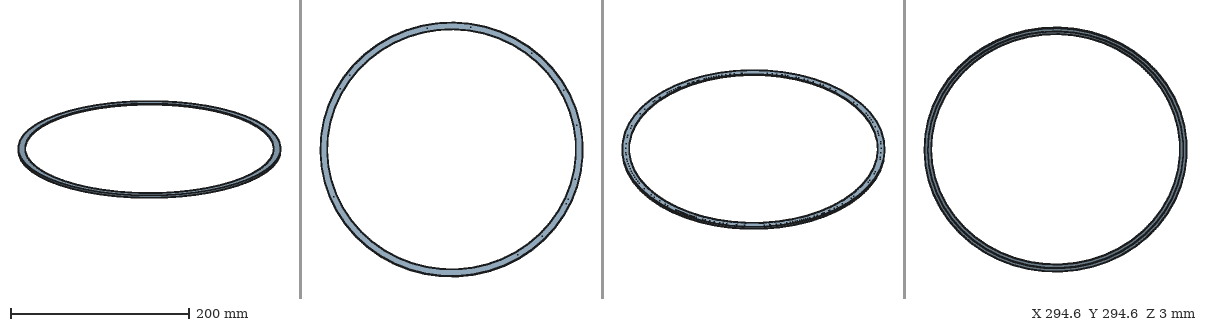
import cadquery as cq

outer_diameter = 294.6
rim_width = 7.8
thickness = 3.0

lip_thickness = 1.3
rabbet_width = rim_width / 2

inner_diameter = outer_diameter - 2 * rim_width
rabbet_diameter = inner_diameter + 2 * rabbet_width
rabbet_height = thickness - lip_thickness


def flat_ring():
    """Plain ring of the full rim width and thickness."""
    return (
        cq.Workplane("XY")
        .circle(outer_diameter / 2)
        .circle(inner_diameter / 2)
        .extrude(thickness)
    )


def underside_rabbet():
    """Disc that opens the bore to the rabbet diameter below the lip."""
    return cq.Workplane("XY").circle(rabbet_diameter / 2).extrude(rabbet_height)


result = flat_ring().cut(underside_rabbet())